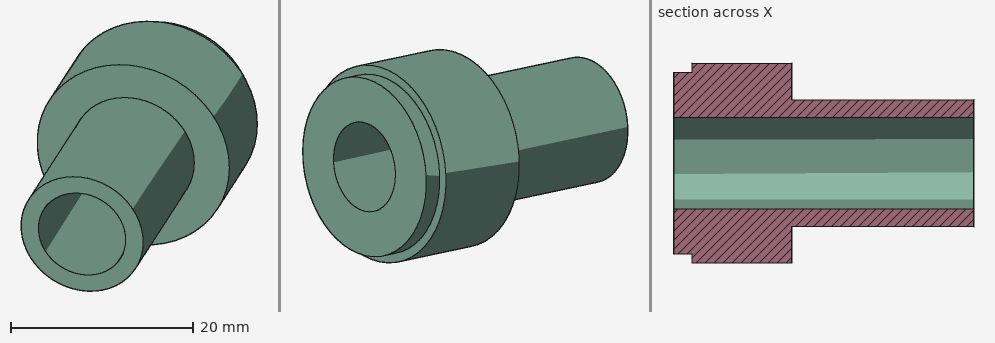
import cadquery as cq

total_length = 33.0
tube_length = 20.0
ring_length = 2.0
collar_length = total_length - tube_length - ring_length

collar_diameter = 22.0
ring_diameter = 20.0
tube_diameter = 14.0
bore_diameter = 10.0


def cylinder_along_y(diameter, start, length):
    """Solid cylinder on the Y axis, from start towards +Y."""
    plane = cq.Workplane("XZ", origin=(0, start, 0))
    return plane.circle(diameter / 2).extrude(-length)


tube = cylinder_along_y(tube_diameter, 0, tube_length)
collar = cylinder_along_y(collar_diameter, tube_length, collar_length)
ring = cylinder_along_y(ring_diameter, tube_length + collar_length, ring_length)

bore = cylinder_along_y(bore_diameter, 0, total_length)

result = tube.union(collar).union(ring).cut(bore)